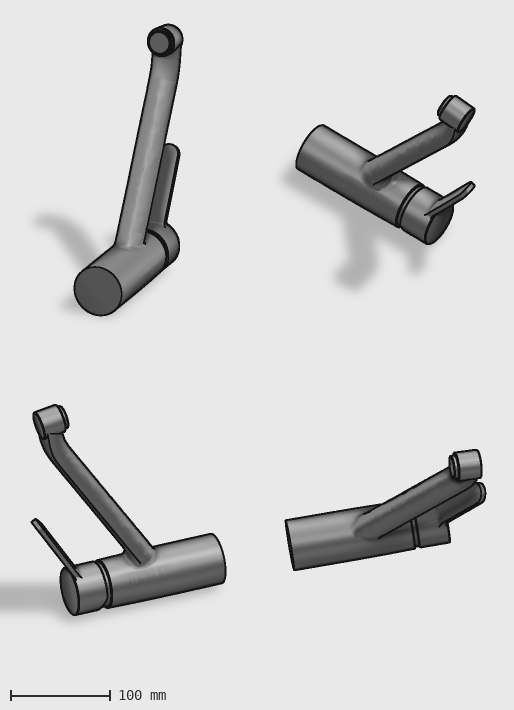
import cadquery as cq
import math


base_diameter = 51.0
base_radius = base_diameter / 2
base_length = 48.0
body_end_radius = 24.6
body_end = 123.0
edge_chamfer = 0.7

ball_radius = 23.0

cap_radius = 24.5
cap_start = 127.0
cap_end = 158.5
relief_depth = 10.2

spout_half_width = 14.2
spout_front_depth = 19.2
spout_back_rise = 3.5
spout_foot = 72.0
spout_lean = 32.4
spout_straight = 194.2
bend_radius = 68.2
head_lean = 9.0
neck_length = 16.5
spout_foot_fillet = 7.5

head_radius = 14.5
head_front = 20.2
nozzle_radius = 11.7
nozzle_length = 4.2

lever_lean = 31.0
lever_half_width = 10.2
lever_side = 5.2
lever_crown = 2.0
lever_length = 67.0
lever_root = 10.0
lever_foot_fillet = 4.5

pick_margin = 2.5

AXIS_X = cq.Vector(1, 0, 0)


def leaning(angle):
    """Unit vector in the YZ plane, tilted from +Z toward +Y."""
    return cq.Vector(0, math.sin(math.radians(angle)), math.cos(math.radians(angle)))


def facing(angle):
    """Unit vector square to leaning(angle), pointing to the front (-Y)."""
    return cq.Vector(0, -math.cos(math.radians(angle)), math.sin(math.radians(angle)))


def disc(radius, length, start):
    """Cylinder along Y from y = start."""
    plane = cq.Plane(origin=(0, start, 0), xDir=AXIS_X, normal=(0, 1, 0))
    return cq.Workplane(plane).circle(radius).extrude(length)


def make_body():
    """Plain base that narrows in a gentle arc toward the ball neck."""
    return (
        cq.Workplane("XY")
        .lineTo(base_radius, 0)
        .lineTo(base_radius, base_length)
        .tangentArcPoint((body_end_radius, body_end - edge_chamfer), relative=False)
        .lineTo(body_end_radius - edge_chamfer, body_end)
        .lineTo(0, body_end)
        .close()
        .revolve(360, (0, 0, 0), (0, 1, 0))
    )


bend_start = cq.Vector(0, spout_foot, 0) + leaning(spout_lean) * spout_straight
bend_centre = bend_start + facing(spout_lean) * bend_radius
bend_middle = bend_centre - facing((spout_lean + head_lean) / 2) * bend_radius
bend_end = bend_centre - facing(head_lean) * bend_radius
head_centre = bend_end + leaning(head_lean) * neck_length


def make_spout():
    """Straight tube from the body axis, bent upward under the outlet head."""
    path = (
        cq.Workplane("YZ")
        .moveTo(spout_foot, 0)
        .lineTo(bend_start.y, bend_start.z)
        .threePointArc((bend_middle.y, bend_middle.z), (bend_end.y, bend_end.z))
        .lineTo(head_centre.y, head_centre.z)
    )
    plane = cq.Plane(origin=(0, spout_foot, 0), xDir=AXIS_X, normal=leaning(spout_lean))
    return (
        cq.Workplane(plane)
        .moveTo(-spout_half_width, 0)
        .ellipseArc(spout_half_width, spout_front_depth, 180, 360, startAtCurrent=True)
        .threePointArc((0, spout_back_rise), (-spout_half_width, 0))
        .close()
        .sweep(path)
    )


def make_head():
    """Short barrel square to the spout, with the nozzle on its front face."""
    back = head_centre - facing(head_lean) * spout_back_rise
    plane = cq.Plane(origin=back, xDir=AXIS_X, normal=facing(head_lean))
    length = spout_back_rise + head_front
    barrel = cq.Workplane(plane).circle(head_radius).extrude(length).edges().chamfer(edge_chamfer)
    nozzle = cq.Workplane(plane).circle(nozzle_radius).extrude(length + nozzle_length)
    nozzle_face = cq.selectors.DirectionMinMaxSelector(facing(head_lean))
    return barrel.union(nozzle.faces(nozzle_face).chamfer(edge_chamfer))


def make_cap():
    """Handle cap with a slanted relief on its lower half, clear of the ball."""
    cap = disc(cap_radius, cap_end - cap_start, cap_start).edges().chamfer(edge_chamfer)
    relief = (
        cq.Workplane("YZ")
        .moveTo(cap_start, 0)
        .lineTo(cap_start + relief_depth, -cap_radius)
        .lineTo(cap_start, -cap_radius)
        .close()
        .extrude(cap_radius, both=True)
    )
    return cap.cut(relief)


def make_ball():
    """Half ball on the end of the body, carrying the handle cap."""
    diagonal = ball_radius * math.sqrt(0.5)
    return (
        cq.Workplane("XY")
        .moveTo(0, body_end)
        .lineTo(ball_radius, body_end)
        .threePointArc((diagonal, body_end + diagonal), (0, body_end + ball_radius))
        .close()
        .revolve(360, (0, 0, 0), (0, 1, 0))
    )


def make_lever():
    """Flat-backed bar with a crowned inner face and a rounded tip."""
    foot = cq.Vector(0, cap_end, cap_radius)
    tip = foot + leaning(lever_lean) * lever_length
    total = lever_side + lever_crown
    plane = cq.Plane(origin=tip, xDir=AXIS_X, normal=-leaning(lever_lean))
    crown_radius = (lever_half_width**2 + lever_crown**2) / (2 * lever_crown)
    half_angle = math.asin(lever_half_width / crown_radius) / 2
    crown_drop = crown_radius * (1 - math.cos(half_angle))
    crown_middle = (crown_radius * math.sin(half_angle), total - crown_drop)
    round_tip = (
        cq.Workplane(plane)
        .lineTo(lever_half_width, 0)
        .lineTo(lever_half_width, lever_side)
        .threePointArc(crown_middle, (0, total))
        .close()
        .revolve(360, (0, 0, 0), (0, 1, 0))
    )
    bar = (
        cq.Workplane(plane)
        .moveTo(-lever_half_width, 0)
        .lineTo(lever_half_width, 0)
        .lineTo(lever_half_width, lever_side)
        .threePointArc((0, total), (-lever_half_width, lever_side))
        .close()
        .extrude(lever_length + lever_root)
    )
    return bar.union(round_tip)


def round_foot(solid, half_width, y_range, radius, fillet):
    """Fillet the edges where a foot joins the top of a round part of the given radius."""
    low = (-half_width - pick_margin, y_range[0] + pick_margin, radius / 2)
    high = (half_width + pick_margin, y_range[1] - pick_margin, radius)
    return solid.edges(cq.selectors.BoxSelector(low, high)).fillet(fillet)


tower = round_foot(
    make_body().union(make_spout()),
    spout_half_width,
    (base_length, body_end),
    base_radius,
    spout_foot_fillet,
)
handle = round_foot(
    make_cap().union(make_lever()),
    lever_half_width,
    (cap_start, cap_end),
    cap_radius,
    lever_foot_fillet,
)
result = tower.union(make_head()).union(make_ball()).union(handle)